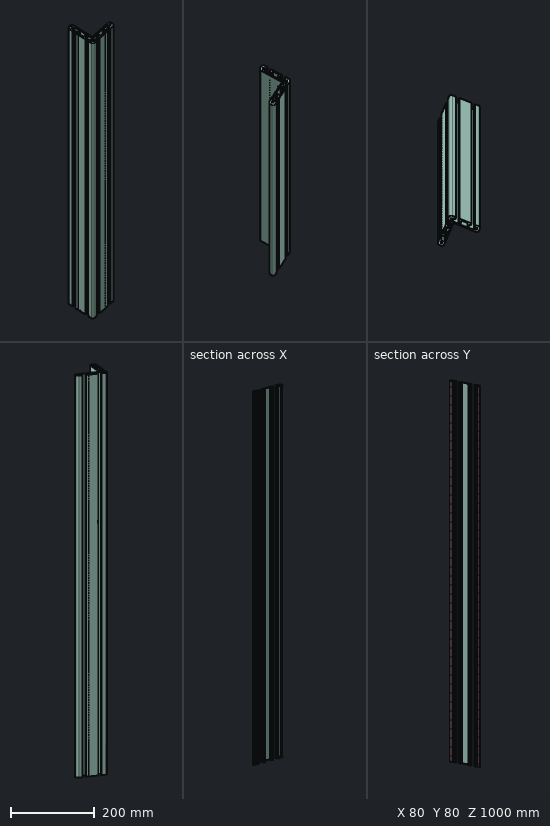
import cadquery as cq

LENGTH = 1000.0
LEG = 80.0
THICKNESS = 16.0
CORNER_RADIUS = 6.0

SLOT_OFFSET = 20.0
SLOT_MOUTH = 7.0
MOUTH_RADIUS = 1.5
LIP_DEPTH = 5.0
CAVITY_WIDTH = 14.0
FLOOR_WALL = 3.5
SLOT_DEPTH = THICKNESS - FLOOR_WALL

CHAMBER_WALL = 3.0
CHAMBER_STEP = 9.0
CHAMBER_WIDE = 22.0
CHAMBER_NARROW = 16.0

BORE_DIAMETER = 4.2
BORE_INSET = THICKNESS / 2


def bar(x_center, width, y_low, y_high):
    """Full-length bar between two heights above the outer face of the lower leg."""
    return (
        cq.Workplane("XY")
        .center(x_center, (y_low + y_high) / 2)
        .rect(width, y_high - y_low)
        .extrude(LENGTH)
    )


def to_upright_leg(shape):
    """Turn a lower-leg shape a quarter turn into the upright leg, keeping the corner."""
    middle = LEG / 2
    return shape.rotate((middle, middle, 0), (middle, middle, 1), 90)


def angle_body():
    """Plain L-shaped bar with its outer edges rounded and its inner corner sharp."""
    lower = bar(LEG / 2, LEG, 0, THICKNESS).edges("|Z").fillet(CORNER_RADIUS)
    return lower.union(to_upright_leg(lower))


def slot(x_center):
    """T-slot: rounded mouth opening into a wider straight cavity."""
    half_mouth = SLOT_MOUTH / 2
    half_flare = half_mouth + MOUTH_RADIUS
    half_cavity = CAVITY_WIDTH / 2
    return (
        cq.Workplane("XY")
        .center(x_center, 0)
        .moveTo(-half_flare, 0)
        .lineTo(half_flare, 0)
        .radiusArc((half_mouth, MOUTH_RADIUS), -MOUTH_RADIUS)
        .lineTo(half_mouth, LIP_DEPTH)
        .lineTo(half_cavity, LIP_DEPTH)
        .lineTo(half_cavity, SLOT_DEPTH)
        .lineTo(-half_cavity, SLOT_DEPTH)
        .lineTo(-half_cavity, LIP_DEPTH)
        .lineTo(-half_mouth, LIP_DEPTH)
        .lineTo(-half_mouth, MOUTH_RADIUS)
        .radiusArc((-half_flare, 0), -MOUTH_RADIUS)
        .close()
        .extrude(LENGTH)
    )


def chamber():
    """Closed stepped chamber in the middle of the leg."""
    top = THICKNESS - CHAMBER_WALL
    narrow = bar(LEG / 2, CHAMBER_NARROW, CHAMBER_WALL, top)
    wide = bar(LEG / 2, CHAMBER_WIDE, CHAMBER_STEP, top)
    return narrow.union(wide)


def bores():
    """Screw bores in both leg ends and in the outer corner."""
    near = BORE_INSET
    far = LEG - BORE_INSET
    return (
        cq.Workplane("XY")
        .pushPoints([(near, near), (far, near), (far, far)])
        .circle(BORE_DIAMETER / 2)
        .extrude(LENGTH)
    )


result = angle_body().cut(bores())
for cutter in (slot(SLOT_OFFSET), slot(LEG - SLOT_OFFSET), chamber()):
    result = result.cut(cutter).cut(to_upright_leg(cutter))